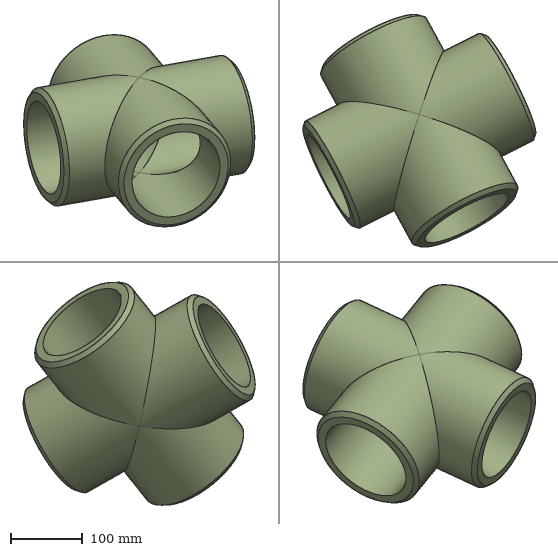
import cadquery as cq

overall_length = 286.0
outer_diameter = 168.0
wall_thickness = 18.2
bore_diameter = outer_diameter - 2 * wall_thickness
end_chamfer = 6.0


def centred_cylinder(plane, diameter):
    """Cylinder along the plane normal, as long as the cross and centred on the origin."""
    return cq.Workplane(plane).circle(diameter / 2).extrude(overall_length / 2, both=True)


def outer_pipe(plane):
    """Solid pipe body with both end rims chamfered."""
    return centred_cylinder(plane, outer_diameter).edges("%CIRCLE").chamfer(end_chamfer)


body = outer_pipe("YZ").union(outer_pipe("XZ"))
bores = centred_cylinder("YZ", bore_diameter).union(centred_cylinder("XZ", bore_diameter))

result = body.cut(bores)